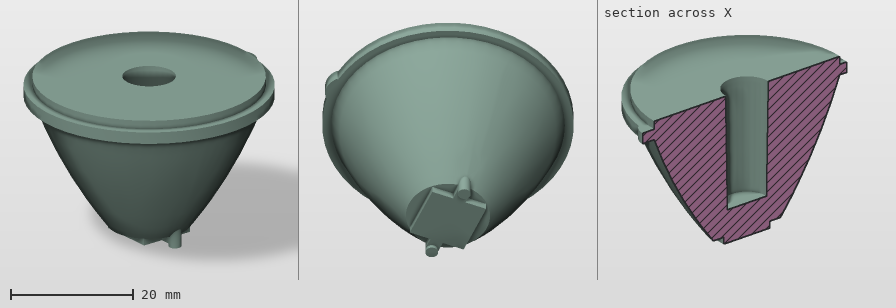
import cadquery as cq

total_height = 27.67
pin_tip_z = 0.0
base_block_z = 0.63
cone_bottom_z = 1.9
flange_bottom_z = 24.2
flange_top_z = 26.2

cone_bottom_radius = 6.85
cone_middle_radius = 13.45
cone_middle_z = 12.05
top_disc_radius = 38.0 / 2

flange_radius = 20.45
key_half_width = 2.25
key_shoulder_y = 20.55
key_tip_y = 21.35

bore_top_radius = 4.35
bore_floor_radius = 3.97
bore_depth = 20.9

block_side = 9.5
tab_span = 13.5
tab_width = 2.17
pin_diameter = 2.1
pin_offset = 6.8
pin_length = 5.0


def make_bowl():
    """Solid of revolution with a bulging side, including the top disc."""
    return (
        cq.Workplane("XZ")
        .moveTo(0, cone_bottom_z)
        .lineTo(cone_bottom_radius, cone_bottom_z)
        .threePointArc((cone_middle_radius, cone_middle_z), (top_disc_radius, flange_bottom_z))
        .lineTo(top_disc_radius, total_height)
        .lineTo(0, total_height)
        .close()
        .revolve(360, (0, 0, 0), (0, 1, 0))
    )


def make_flange():
    """Round rim with a rounded key on the +Y side."""
    thickness = flange_top_z - flange_bottom_z
    plane = cq.Workplane("XY").workplane(offset=flange_bottom_z)
    rim = plane.circle(flange_radius).extrude(thickness)
    key = (
        plane.moveTo(-key_half_width, 0)
        .lineTo(-key_half_width, key_shoulder_y)
        .threePointArc((0, key_tip_y), (key_half_width, key_shoulder_y))
        .lineTo(key_half_width, 0)
        .close()
        .extrude(thickness)
    )
    return rim.union(key)


def make_base():
    """Square block with a narrow tab towards each pin."""
    height = cone_bottom_z - base_block_z
    plane = cq.Workplane("XY").workplane(offset=base_block_z)
    block = plane.rect(block_side, block_side).extrude(height)
    tabs = plane.rect(tab_span, tab_width).extrude(height)
    return block.union(tabs)


def make_pins():
    """Pair of locating pins on the X axis."""
    return (
        cq.Workplane("XY")
        .workplane(offset=pin_tip_z)
        .pushPoints([(-pin_offset, 0), (pin_offset, 0)])
        .circle(pin_diameter / 2)
        .extrude(pin_length)
    )


def make_bore():
    """Tapered cutter, narrowing downwards from the top face."""
    floor_z = total_height - bore_depth
    return (
        cq.Workplane("XY")
        .workplane(offset=floor_z)
        .circle(bore_floor_radius)
        .workplane(offset=bore_depth)
        .circle(bore_top_radius)
        .loft(ruled=True)
    )


result = make_bowl().union(make_flange()).union(make_base()).union(make_pins()).cut(make_bore())